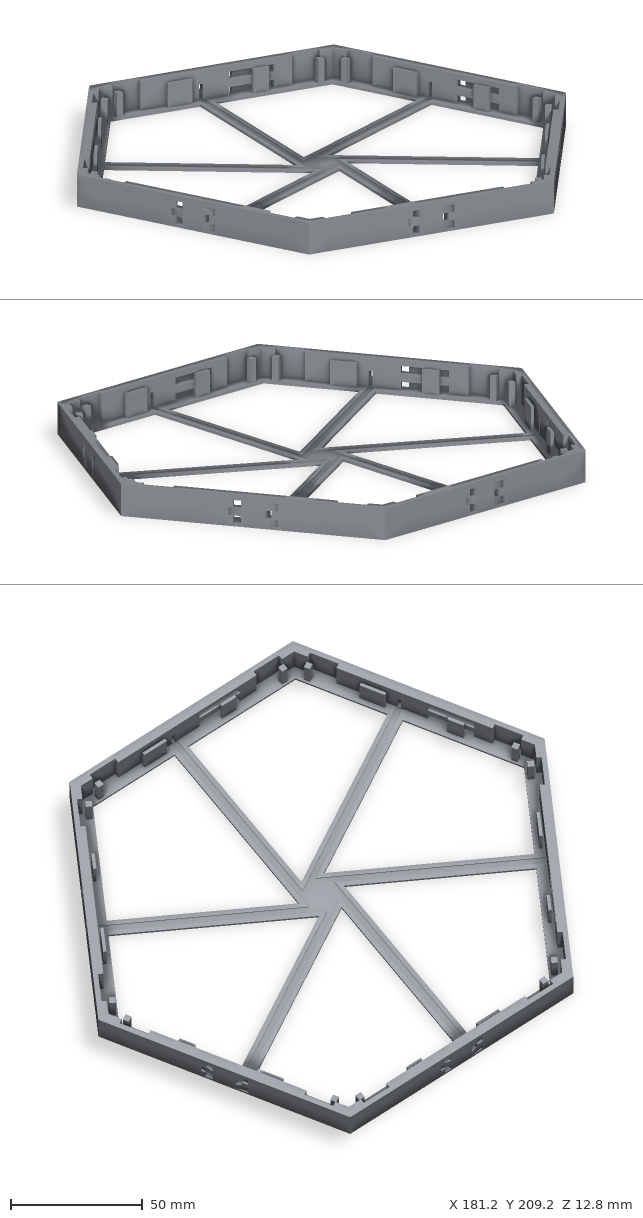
import cadquery as cq
import math

SIDES = 6
CORNER_DIAMETER = 209.2
HEIGHT = 12.8
FLOOR = 1.0
WALL = 4.0
LEDGE = 4.4
OUTER_FACE = CORNER_DIAMETER / 2 * math.cos(math.pi / SIDES)
INNER_FACE = OUTER_FACE - WALL
OPENING_FACE = INNER_FACE - LEDGE

SPOKE_OFFSET = 6.0
SPOKE_WIDTH = 6.3
CHANNEL_WIDTH = 2.5
CHANNEL_DEPTH = 0.5
CHANNEL_LOW = SPOKE_OFFSET - CHANNEL_WIDTH / 2
CHANNEL_HIGH = SPOKE_OFFSET + CHANNEL_WIDTH / 2
HUB_RADIUS = CHANNEL_HIGH

HALF_WALL = WALL / 2
RELIEF_START = 32.5
RELIEF_END = 44.4
POST_WIDTH = 2.5

RETAINER_GAP = 1.0
RETAINER_FACE = INNER_FACE - RETAINER_GAP
RETAINER_TOP = 10.7
PLATE_THICKNESS = 1.3
WIDE_PLATE = (11.3, 21.8)
NARROW_PLATE = (-21.3, -14.6)

ROW_HEIGHT = 3.1
ROWS = [FLOOR + i * ROW_HEIGHT for i in range(3)]
LOW_ROW, MIDDLE_ROW, HIGH_ROW = ROWS
LATCH_NEAR = CHANNEL_LOW
LATCH_FAR = 9.8
RAMP_DEPTH = 1.0
WINDOW_FAR = 8.0
WINDOW_SLANT = 0.8
WINDOW_INNER_NEAR = LATCH_NEAR + WINDOW_SLANT
SLOT_END = 24.7
SLOT_SKIN = 1.5


def box(x0, x1, y0, y1, z0, z1):
    return cq.Workplane("XY").box(x1 - x0, y1 - y0, z1 - z0, centered=False).translate((x0, y0, z0))


def prism(points, z0, height):
    return cq.Workplane("XY").workplane(offset=z0).polyline(points).close().extrude(height)


def hexagon(face_distance, z0, height):
    """Hexagonal prism with flat sides facing +X and -X."""
    diameter = 2 * face_distance / math.cos(math.pi / SIDES)
    outline = cq.Workplane("XY").workplane(offset=z0).polygon(SIDES, diameter)
    return outline.extrude(height).rotate((0, 0, 0), (0, 0, 1), 90)


def around(shape):
    """Copies of a shape made on the +X side, one for every side."""
    return [shape.rotate((0, 0, 0), (0, 0, 1), i * 360 / SIDES).val() for i in range(SIDES)]


def cut_all(body, cutter):
    return cq.Workplane(body.val().cut(*around(cutter)).clean())


def fuse_all(body, addition):
    return cq.Workplane(body.val().fuse(*around(addition)).clean())


def ramp(start, end, z0):
    """Outer pocket falling from flush at start to full depth at end."""
    points = [(OUTER_FACE, start), (OUTER_FACE, end), (OUTER_FACE - RAMP_DEPTH, end)]
    return prism(points, z0, ROW_HEIGHT)


def window(side, far, z0):
    """Opening through the wall whose face nearest the middle of the side is slanted."""
    points = [
        (OUTER_FACE, side * LATCH_NEAR),
        (OUTER_FACE, side * far),
        (INNER_FACE, side * far),
        (INNER_FACE, side * WINDOW_INNER_NEAR),
    ]
    return prism(points, z0, ROW_HEIGHT)


frame = hexagon(OUTER_FACE, 0, HEIGHT).cut(hexagon(INNER_FACE, FLOOR, HEIGHT))
frame = frame.cut(hexagon(OPENING_FACE, 0, HEIGHT))

spoke_low = SPOKE_OFFSET - SPOKE_WIDTH / 2
frame = frame.union(cq.Workplane("XY").circle(HUB_RADIUS).extrude(FLOOR))
frame = fuse_all(frame, box(0, INNER_FACE, spoke_low, spoke_low + SPOKE_WIDTH, 0, FLOOR))

channel_floor = FLOOR - CHANNEL_DEPTH
frame = frame.cut(cq.Workplane("XY").workplane(offset=channel_floor).circle(HUB_RADIUS).extrude(CHANNEL_DEPTH))
frame = cut_all(frame, box(0, INNER_FACE, CHANNEL_LOW, CHANNEL_HIGH, channel_floor, FLOOR))

for start, end, post_start in (
    (RELIEF_START, RELIEF_END, RELIEF_END - POST_WIDTH),
    (-RELIEF_END, -RELIEF_START, -RELIEF_END),
):
    relief = box(INNER_FACE, INNER_FACE + HALF_WALL, start, end, FLOOR, HEIGHT)
    post_end = post_start + POST_WIDTH
    post = box(RETAINER_FACE - POST_WIDTH, RETAINER_FACE, post_start, post_end, 0, RETAINER_TOP)
    frame = cut_all(frame, relief)
    frame = fuse_all(frame, post)

for start, end in (WIDE_PLATE, NARROW_PLATE):
    plate = box(RETAINER_FACE - PLATE_THICKNESS, RETAINER_FACE, start, end, 0, RETAINER_TOP)
    frame = fuse_all(frame, plate)

notch_back = INNER_FACE + HALF_WALL
frame = cut_all(frame, box(INNER_FACE, notch_back, WINDOW_INNER_NEAR, CHANNEL_HIGH, FLOOR, HIGH_ROW))
frame = cut_all(frame, window(1, CHANNEL_HIGH, MIDDLE_ROW))

slot_back = OUTER_FACE - SLOT_SKIN
frame = cut_all(frame, ramp(-LATCH_NEAR, -LATCH_FAR, MIDDLE_ROW))
for row in (LOW_ROW, HIGH_ROW):
    frame = cut_all(frame, ramp(LATCH_NEAR, LATCH_FAR, row))
    frame = cut_all(frame, window(-1, WINDOW_FAR, row))
    frame = cut_all(frame, box(INNER_FACE, slot_back, -SLOT_END, -WINDOW_FAR, row, row + ROW_HEIGHT))

result = frame